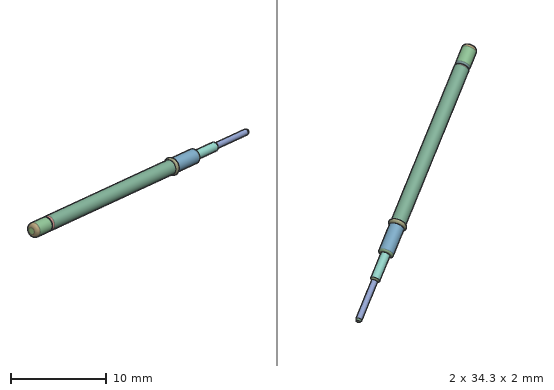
import cadquery as cq

LENGTH = 34.3

BARREL_RADIUS = 0.82
BARREL_END = 25.95
REAR_ROUND = 0.45
FRONT_ROUND = 0.2

GROOVE_CENTER = 2.55
GROOVE_WIDTH = 0.4
GROOVE_DEPTH = 0.17

COLLAR_RADIUS = 1.0
COLLAR_CENTER = 22.25
COLLAR_WIDTH = 0.5

SLEEVE_RADIUS = 0.5
SLEEVE_END = 29.1
SLEEVE_CONE_LENGTH = 0.2

NEEDLE_RADIUS = 0.35
TIP_BEVEL_LENGTH = 0.25
TIP_BEVEL_DEPTH = 0.1


def revolve_about_y(profile):
    """Full turn of a closed XY profile about the Y axis."""
    return profile.revolve(360, (0, 0, 0), (0, 1, 0))


def make_barrel():
    """Cylinder with rounded ends and the crimp groove."""
    barrel = revolve_about_y(
        cq.Workplane("XY").rect(BARREL_RADIUS, BARREL_END, centered=False)
    )
    barrel = barrel.faces("<Y").edges().fillet(REAR_ROUND)
    barrel = barrel.faces(">Y").edges().fillet(FRONT_ROUND)
    return barrel.cut(make_groove())


def make_groove():
    """Ring to remove: both flanks roll off the barrel into a sharp bottom."""
    half_width = GROOVE_WIDTH / 2
    rear_rim = (BARREL_RADIUS, GROOVE_CENTER - half_width)
    front_rim = (BARREL_RADIUS, GROOVE_CENTER + half_width)
    bottom = (BARREL_RADIUS - GROOVE_DEPTH, GROOVE_CENTER)
    flank_radius = (half_width**2 + GROOVE_DEPTH**2) / (2 * GROOVE_DEPTH)
    section = (
        cq.Workplane("XY")
        .moveTo(*rear_rim)
        .radiusArc(bottom, -flank_radius)
        .radiusArc(front_rim, -flank_radius)
        .close()
    )
    return revolve_about_y(section)


def make_collar():
    """Disc with a rounded rim that meets the barrel surface at both ends."""
    start = COLLAR_CENTER - COLLAR_WIDTH / 2
    end = COLLAR_CENTER + COLLAR_WIDTH / 2
    profile = (
        cq.Workplane("XY")
        .moveTo(0, start)
        .lineTo(BARREL_RADIUS, start)
        .threePointArc((COLLAR_RADIUS, COLLAR_CENTER), (BARREL_RADIUS, end))
        .lineTo(0, end)
        .close()
    )
    return revolve_about_y(profile)


def make_plunger():
    """Sleeve and needle, starting at the front face of the barrel."""
    profile = (
        cq.Workplane("XY")
        .moveTo(0, BARREL_END)
        .lineTo(SLEEVE_RADIUS, BARREL_END)
        .lineTo(SLEEVE_RADIUS, SLEEVE_END)
        .lineTo(NEEDLE_RADIUS, SLEEVE_END + SLEEVE_CONE_LENGTH)
        .lineTo(NEEDLE_RADIUS, LENGTH - TIP_BEVEL_LENGTH)
        .lineTo(NEEDLE_RADIUS - TIP_BEVEL_DEPTH, LENGTH)
        .lineTo(0, LENGTH)
        .close()
    )
    return revolve_about_y(profile)


result = make_barrel().union(make_collar()).union(make_plunger())